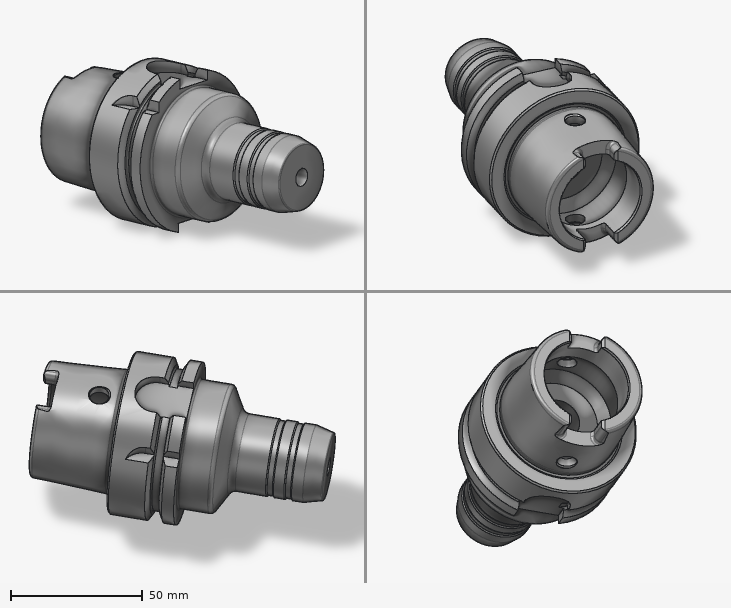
import cadquery as cq
import math


length = 112.0

gauge_radius = 48.0 / 2
gauge_x = 30.0
taper_slope = 0.05
mouth_radius = gauge_radius - taper_slope * gauge_x
mouth_edge = 1.3

relief_radius = 23.9
relief_end = 31.1
undercut_depth = 0.3
undercut_inner_radius = 25.0
undercut_outer_radius = 25.6

flange_radius = 31.5
flange_start = 32.0
flange_end = 58.0
flange_chamfer = 0.7
nose_fillet = 0.8

groove_x = 50.1
groove_radius = 27.4
groove_half_width = 1.8
groove_shoulder_radius = 28.9
flank_angle = 60.0
groove_fillet = 0.6

nose_radius = 25.0
cone_start = 71.1
cone_angle = 60.0
cone_top_fillet = 2.0
cone_root_fillet = 3.2

spigot_radius = 15.0
ring_radius = 29.0 / 2
ring_middles = (92.0, 99.0)
ring_half_width = 1.0
ring_edge = spigot_radius - ring_radius
tip_start = 104.8
tip_radius = 13.1
tip_fillet = 0.5

bore_radius = 17.0
bore_chamfer = 0.3
bore_chamfer_length = 1.0
recess_radius = 40.0 / 2
recess_start = 13.1
recess_slope = 60.0
recess_end = 29.1
floor_radius = 15.7
floor_x = 32.5
tube_seat_radius = 16.9 / 2
tube_seat_end = 49.3
coolant_radius = 3.5

key_half_width = 6.0
key_shoulder_z = 20.7
key_corner = 2.5
key_floor_fillet = 1.2
key_edge_x = 0.84
key_edge_y = 1.1
top_key_depth = 5.8
bottom_key_depth = 9.9

cross_hole_x = 23.0
cross_hole_radius = 7.5 / 2
cross_hole_chamfer = 0.6

top_slot_half_width = 8.0
bottom_slot_half_width = 9.0
slot_floor_z = 26.5
slot_start = 37.0

notch_wall_y = -20.3
notch_floor_z = 19.9
notch_corner_radius = top_slot_half_width
notch_center_x = slot_start + notch_corner_radius

clearance = 39.2


def revolve_about_x(profile):
    """Turn a closed (x, radius) profile about the X axis."""
    return profile.revolve(360, (0, 0, 0), (1, 0, 0))


def ring_cutter(x_middle, half_width, inner_radius, outer_radius, flare):
    """Ring groove whose half width grows by `flare` from bottom to top."""
    return revolve_about_x(
        cq.Workplane("XY").polyline([
            (x_middle - half_width, inner_radius),
            (x_middle + half_width, inner_radius),
            (x_middle + half_width + flare, outer_radius),
            (x_middle - half_width - flare, outer_radius),
        ]).close()
    )


def at_circle(x, radius):
    """Selector box around the circular edge of the given radius at x."""
    margin = 0.06
    reach = radius + margin
    inner = radius - margin
    outer_box = cq.selectors.BoxSelector(
        (x - margin, -reach, -reach), (x + margin, reach, reach), boundingbox=True)
    inner_box = cq.selectors.BoxSelector(
        (x - margin, -inner, -inner), (x + margin, inner, inner), boundingbox=True)
    return outer_box - inner_box


def make_body():
    """Turned outside of the holder, with its roundings."""
    cone_end = cone_start + (nose_radius - spigot_radius) / math.tan(math.radians(cone_angle))
    undercut_bottom = flange_start + undercut_depth
    body = revolve_about_x(
        cq.Workplane("XY")
        .moveTo(0, 0)
        .lineTo(0, mouth_radius)
        .lineTo(gauge_x, gauge_radius)
        .lineTo(relief_end, relief_radius)
        .lineTo(undercut_bottom, relief_radius)
        .lineTo(undercut_bottom, undercut_inner_radius)
        .lineTo(flange_start, undercut_outer_radius)
        .lineTo(flange_start, flange_radius)
        .lineTo(flange_end, flange_radius)
        .lineTo(flange_end, nose_radius)
        .lineTo(cone_start, nose_radius)
        .lineTo(cone_end, spigot_radius)
        .lineTo(tip_start, spigot_radius)
        .lineTo(length, tip_radius)
        .lineTo(length, 0)
        .close()
    )
    body = body.edges(at_circle(0, mouth_radius)).fillet(mouth_edge)
    body = body.edges(at_circle(flange_start, flange_radius)).chamfer(flange_chamfer)
    body = body.edges(at_circle(flange_end, nose_radius)).fillet(nose_fillet)
    body = body.edges(at_circle(cone_start, nose_radius)).fillet(cone_top_fillet)
    body = body.edges(at_circle(cone_end, spigot_radius)).fillet(cone_root_fillet)
    return body.edges(at_circle(length, tip_radius)).fillet(tip_fillet)


def gripper_groove():
    """V-flanked groove round the flange, with a filleted straight-sided bottom."""
    flare = (flange_radius - groove_shoulder_radius) / math.tan(math.radians(flank_angle))
    bottom = ring_cutter(groove_x, groove_half_width, groove_radius, groove_shoulder_radius, 0)
    front_corner = at_circle(groove_x - groove_half_width, groove_radius)
    bottom = bottom.edges(front_corner).fillet(groove_fillet)
    flanks = ring_cutter(groove_x, groove_half_width, groove_shoulder_radius, flange_radius, flare)
    return bottom.union(flanks)


def inner_cavity():
    """Bore, clamping recess, coolant tube seat and coolant hole."""
    rise = recess_radius - bore_radius
    return revolve_about_x(
        cq.Workplane("XY")
        .moveTo(0, 0)
        .lineTo(0, bore_radius + bore_chamfer)
        .lineTo(bore_chamfer_length, bore_radius)
        .lineTo(recess_start, bore_radius)
        .lineTo(recess_start + rise / math.tan(math.radians(recess_slope)), recess_radius)
        .lineTo(recess_end, recess_radius)
        .lineTo(floor_x, floor_radius)
        .lineTo(floor_x, tube_seat_radius)
        .lineTo(tube_seat_end, tube_seat_radius)
        .lineTo(tube_seat_end, coolant_radius)
        .lineTo(length, coolant_radius)
        .lineTo(length, 0)
        .close()
    )


def key_slot(depth):
    """Drive key slot across the +Z side of the shank mouth."""
    wall_top = key_shoulder_z - key_corner
    diagonal = key_corner * (1 - math.sqrt(0.5))
    shoulder_y = key_half_width + key_corner
    slot = (
        cq.Workplane("YZ")
        .moveTo(-key_half_width, 0)
        .lineTo(-key_half_width, wall_top)
        .threePointArc((-key_half_width - diagonal, key_shoulder_z - diagonal),
                       (-shoulder_y, key_shoulder_z))
        .lineTo(-clearance, key_shoulder_z)
        .lineTo(-clearance, clearance)
        .lineTo(clearance, clearance)
        .lineTo(clearance, key_shoulder_z)
        .lineTo(shoulder_y, key_shoulder_z)
        .threePointArc((key_half_width + diagonal, key_shoulder_z - diagonal),
                       (key_half_width, wall_top))
        .lineTo(key_half_width, 0)
        .close()
        .extrude(depth)
        .faces(">X").edges("not(<Z or >Z or <Y or >Y)").fillet(key_floor_fillet)
    )
    bevel = (
        cq.Workplane("XY")
        .polyline([
            (0, -key_half_width - key_edge_y),
            (0, key_half_width + key_edge_y),
            (key_edge_x, key_half_width),
            (key_edge_x, -key_half_width),
        ]).close()
        .extrude(key_shoulder_z)
    )
    return slot.union(bevel)


def cross_hole():
    """Radial hole through both shank walls, chamfered outside."""
    surface_z = mouth_radius + taper_slope * cross_hole_x
    tip_depth = cross_hole_radius + cross_hole_chamfer
    hole = (
        cq.Workplane("XY").workplane(offset=-clearance)
        .center(cross_hole_x, 0).circle(cross_hole_radius)
        .extrude(2 * clearance)
    )
    countersink = (
        cq.Workplane("XZ")
        .polyline([
            (0, surface_z - tip_depth),
            (tip_depth, surface_z),
            (tip_depth, clearance),
            (0, clearance),
        ]).close()
        .revolve(360, (0, 0, 0), (0, 1, 0))
        .translate((cross_hole_x, 0, 0))
    )
    return hole.union(countersink).union(to_bottom(countersink))


def flange_slot(half_width):
    """Round-ended slot in the +Z side of the flange, open at the rear face."""
    center_x = slot_start + half_width
    return (
        cq.Workplane("XY").workplane(offset=slot_floor_z)
        .moveTo(flange_end, -half_width)
        .lineTo(center_x, -half_width)
        .threePointArc((slot_start, 0), (center_x, half_width))
        .lineTo(flange_end, half_width)
        .close()
        .extrude(clearance - slot_floor_z)
    )


def orientation_notch():
    """Corner notch in the flange between the -Y and +Z sides."""
    diagonal = notch_corner_radius * (1 - math.sqrt(0.5))
    return (
        cq.Workplane("XY").workplane(offset=notch_floor_z)
        .moveTo(flange_end, notch_wall_y)
        .lineTo(notch_center_x, notch_wall_y)
        .threePointArc((slot_start + diagonal, notch_wall_y - diagonal),
                       (slot_start, notch_wall_y - notch_corner_radius))
        .lineTo(slot_start, -clearance)
        .lineTo(flange_end, -clearance)
        .close()
        .extrude(clearance - notch_floor_z)
    )


def to_bottom(cutter):
    """Turn a +Z side cutter round to the -Z side."""
    return cutter.rotate((0, 0, 0), (1, 0, 0), 180)


result = make_body().cut(gripper_groove())
for ring_x in ring_middles:
    result = result.cut(
        ring_cutter(ring_x, ring_half_width, ring_radius, spigot_radius, ring_edge))

result = (
    result
    .cut(inner_cavity())
    .cut(key_slot(top_key_depth))
    .cut(to_bottom(key_slot(bottom_key_depth)))
    .cut(cross_hole())
    .cut(flange_slot(top_slot_half_width))
    .cut(to_bottom(flange_slot(bottom_slot_half_width)))
    .cut(orientation_notch())
)